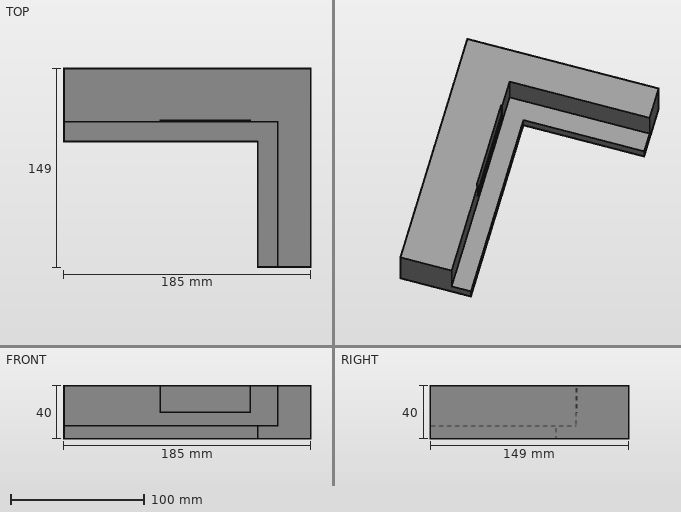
import cadquery as cq

length_x = 185.0
length_y = 149.0
height = 40.0
x_wall_width = 40.0
y_wall_width = 25.0

ledge_width = 15.0
ledge_height = 10.0

recess_start_x = 72.2
recess_length = 67.5
recess_height = 20.0
recess_depth = 1.0


def corner_piece(x_leg_width, y_leg_width, leg_height):
    """L-shaped prism standing on Z = 0; each leg is named after the axis it runs along."""
    inner_x = length_x - y_leg_width
    inner_y = length_y - x_leg_width
    return (
        cq.Workplane("XY")
        .moveTo(0, length_y)
        .lineTo(length_x, length_y)
        .lineTo(length_x, 0)
        .lineTo(inner_x, 0)
        .lineTo(inner_x, inner_y)
        .lineTo(0, inner_y)
        .close()
        .extrude(leg_height)
    )


walls = corner_piece(x_wall_width, y_wall_width, height)
ledge = corner_piece(x_wall_width + ledge_width, y_wall_width + ledge_width, ledge_height)

recess = cq.Workplane("XY").box(
    recess_length, recess_depth, recess_height, centered=False
).translate((recess_start_x, length_y - x_wall_width, height - recess_height))

result = walls.union(ledge).cut(recess)